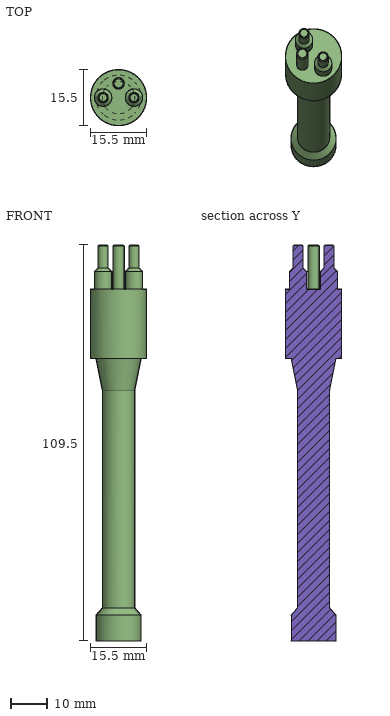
import cadquery as cq

collar_top = 7.2
collar_chamfer_top = 9.2
taper_bottom = 69.3
head_bottom = 78.1
head_top = 97.3
sleeve_top = 102.2
sleeve_cone_top = 103.1
pin_top = 109.5

collar_diameter = 12.5
stem_diameter = 9.0
head_diameter = 15.5
sleeve_diameter = 4.8
contact_pin_diameter = 2.8
rear_pin_diameter = 3.2

pin_bevel = 0.3
pin_bevel_bottom = pin_top - pin_bevel

contact_pin_offset = 4.3
rear_pin_offset = 3.9


def revolve_steps(steps):
    """Revolve a stepped outline about Z from (diameter, height) corners, bottom to top."""
    outline = [(diameter / 2, height) for diameter, height in steps]
    axis_bottom = (0, steps[0][1])
    axis_top = (0, steps[-1][1])
    profile = cq.Workplane("XZ").polyline([axis_bottom] + outline + [axis_top]).close()
    return profile.revolve(360, (0, 0, 0), (0, 1, 0))


body = revolve_steps([
    (collar_diameter, 0),
    (collar_diameter, collar_top),
    (stem_diameter, collar_chamfer_top),
    (stem_diameter, taper_bottom),
    (collar_diameter, head_bottom),
    (head_diameter, head_bottom),
    (head_diameter, head_top),
])

contact_pin = revolve_steps([
    (sleeve_diameter, head_top),
    (sleeve_diameter, sleeve_top),
    (contact_pin_diameter, sleeve_cone_top),
    (contact_pin_diameter, pin_bevel_bottom),
    (contact_pin_diameter - 2 * pin_bevel, pin_top),
])

rear_pin = revolve_steps([
    (rear_pin_diameter, head_top),
    (rear_pin_diameter, pin_bevel_bottom),
    (rear_pin_diameter - 2 * pin_bevel, pin_top),
])

result = body.union(rear_pin.translate((0, rear_pin_offset, 0)))
for side in (-1, 1):
    result = result.union(contact_pin.translate((side * contact_pin_offset, 0, 0)))